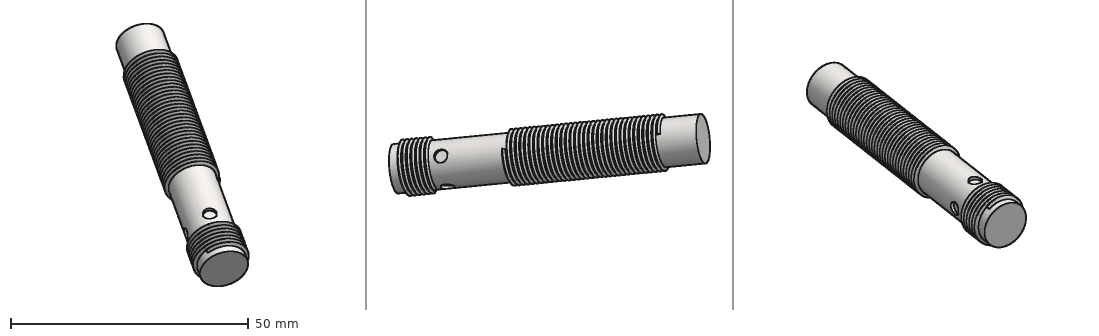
import cadquery as cq

length = 67.45
body_diameter = 10.5
body_radius = body_diameter / 2

thread_diameter = 12.1
ridge_base_width = 0.9
ridge_overlap = 0.1
long_thread_start = 8.3
long_thread_length = 34.0
long_thread_turns = 34
thread_pitch = long_thread_length / long_thread_turns
long_thread_angle = 0
short_thread_start = 58.95
short_thread_turns = 6.6
short_thread_angle = 270

window_count = 4
window_x = 56.05
window_diameter = 3.0
window_depth = 0.8


def make_thread(start, turns, start_angle):
    """Helical ridge of triangular section, starting at X = start."""
    crest_radius = thread_diameter / 2
    root_radius = body_radius - ridge_overlap
    half_width = ridge_base_width / 2
    path = cq.Wire.makeHelix(thread_pitch, turns * thread_pitch, root_radius)
    section = cq.Workplane("XZ").polyline(
        [(root_radius, -half_width), (crest_radius, 0), (root_radius, half_width)]
    ).close()
    ridge = section.sweep(cq.Workplane(path), isFrenet=True)
    ridge = ridge.rotate((0, 0, 0), (0, 1, 0), 90)
    ridge = ridge.rotate((0, 0, 0), (1, 0, 0), 90 + start_angle)
    return ridge.translate((start, 0, 0))


def make_window(angle):
    """Cutter for one flat-bottomed window, pointing outward at the given angle about X."""
    cutter = (
        cq.Workplane("XY")
        .workplane(offset=body_radius - window_depth)
        .center(window_x, 0)
        .circle(window_diameter / 2)
        .extrude(2 * window_depth)
    )
    return cutter.rotate((0, 0, 0), (1, 0, 0), angle)


result = cq.Workplane("YZ").circle(body_radius).extrude(length)

for index in range(window_count):
    result = result.cut(make_window(index * 360 / window_count))

result = result.union(make_thread(long_thread_start, long_thread_turns, long_thread_angle))
result = result.union(make_thread(short_thread_start, short_thread_turns, short_thread_angle))